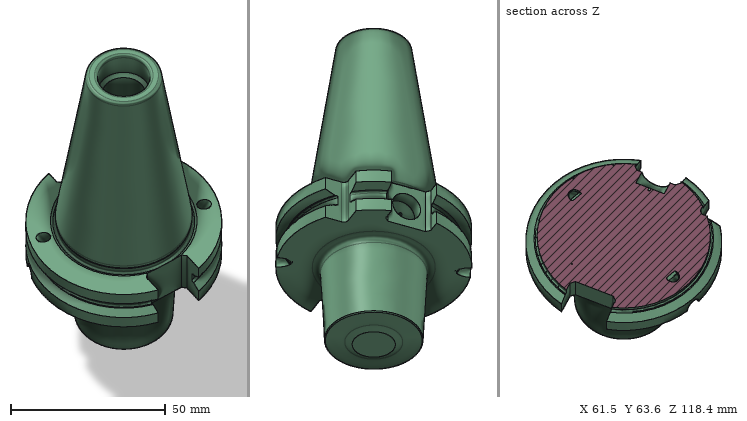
import cadquery as cq
import math


TAPER_LENGTH = 68.4
GAUGE_RADIUS = 44.45 / 2
TAPER_HALF_RATIO = 7 / 48
TIP_FILLET = 1.0
GAUGE_LAND = 1.0
NECK_RADIUS = 22.0
NECK_STEP_HEIGHT = 0.6

FLANGE_RADIUS = 63.55 / 2
FLANGE_TOP_Z = -3.2
FLANGE_BOTTOM_Z = -19.1
RELIEF_OUTER_RADIUS = 23.75
RELIEF_FLOOR_RADIUS = 23.0
RELIEF_DEPTH = 0.3
RELIEF_FILLET = 0.6
GROOVE_Z = -11.1
GROOVE_FLOOR_RADIUS = 28.15
GROOVE_MOUTH_HALF = 3.42
GROOVE_FLANK_ANGLE = 30
GROOVE_WIDTH = 3.75
GROOVE_FILLET = 0.56

BODY_TOP_RADIUS = 17.35
BODY_BOTTOM_RADIUS = 16.0
BODY_FILLET = 2.6
BODY_BOTTOM_Z = -48.1
END_EDGE_Z = -48.5
END_EDGE_RADIUS = 15.7
NOSE_BASE_RADIUS = 9.4
NOSE_BASE_Z = -49.05
NOSE_RADIUS = 7.0
NOSE_Z = -50.0

BORE_RADIUS = 8.5
BORE_MOUTH_FILLET = 1.0
BORE_DEPTH = 8.2
THREAD_RADIUS = 7.0
THREAD_DEPTH = 42.5
DRILL_POINT_ANGLE = 118

SLOT_WIDTH = 16.1
SLOT_FLOOR_LEFT = 25.0
SLOT_FLOOR_RIGHT = 22.8
SLOT_CORNER = 1.3
SLOT_OVERRUN = 1.0
NOTCH_X = 18.3
NOTCH_Y = 18.5
NOTCH_FILLET = 1.6
CHIP_RADIUS = 5.0
CHIP_DEPTH = 4.6
CHIP_VENT_RADIUS = 0.5
CHIP_VENT_DEPTH = 1.0

COOLANT_AZIMUTHS = (70, 250)
COOLANT_RADIUS = 2.05
COOLANT_MOUTH_RADIUS = 27.0
COOLANT_TILT = 30
COOLANT_DEPTH = 10.0
RIM_HOLE_RADIUS = 2.6
RIM_HOLE_Z = FLANGE_BOTTOM_Z
RIM_HOLE_TILT = 57
RIM_HOLE_DEPTH = 4.6
RIM_PILOT_RADIUS = 2.1
RIM_PILOT_DEPTH = 11.7

FLANGE_HEIGHT = FLANGE_TOP_Z - FLANGE_BOTTOM_Z


def fillet_offset(radius):
    """Distance from each tangent side to the middle of a quarter-circle fillet."""
    return radius * (1 - math.sqrt(0.5))


def turned_body():
    """Taper, neck, grooved flange, body and nose as one revolved outline."""
    tip_radius = GAUGE_RADIUS - TAPER_LENGTH * TAPER_HALF_RATIO
    tip_arc = fillet_offset(TIP_FILLET)
    tip_edge_z = TAPER_LENGTH - TIP_FILLET
    tip_edge_radius = GAUGE_RADIUS - tip_edge_z * TAPER_HALF_RATIO
    relief_z = FLANGE_TOP_Z - RELIEF_DEPTH
    relief_arc = fillet_offset(RELIEF_FILLET)
    groove_half = GROOVE_WIDTH / 2
    floor_half = groove_half - GROOVE_FILLET
    groove_arc = fillet_offset(GROOVE_FILLET)
    flank_depth = (GROOVE_MOUTH_HALF - groove_half) / math.tan(math.radians(GROOVE_FLANK_ANGLE))
    flank_radius = FLANGE_RADIUS - flank_depth
    wall_radius = GROOVE_FLOOR_RADIUS + GROOVE_FILLET
    corner_radius = GROOVE_FLOOR_RADIUS + groove_arc
    corner_half = groove_half - groove_arc
    body_arc = fillet_offset(BODY_FILLET)
    outline = (
        cq.Workplane("XZ")
        .moveTo(0, TAPER_LENGTH)
        .lineTo(tip_radius - TIP_FILLET, TAPER_LENGTH)
        .threePointArc((tip_radius - tip_arc, TAPER_LENGTH - tip_arc), (tip_edge_radius, tip_edge_z))
        .lineTo(GAUGE_RADIUS, 0)
        .lineTo(GAUGE_RADIUS, -GAUGE_LAND)
        .lineTo(NECK_RADIUS, -GAUGE_LAND - NECK_STEP_HEIGHT)
        .lineTo(NECK_RADIUS, relief_z + RELIEF_FILLET)
        .threePointArc(
            (NECK_RADIUS + relief_arc, relief_z + relief_arc),
            (NECK_RADIUS + RELIEF_FILLET, relief_z),
        )
        .lineTo(RELIEF_FLOOR_RADIUS, relief_z)
        .lineTo(RELIEF_OUTER_RADIUS, FLANGE_TOP_Z)
        .lineTo(FLANGE_RADIUS, FLANGE_TOP_Z)
        .lineTo(FLANGE_RADIUS, GROOVE_Z + GROOVE_MOUTH_HALF)
        .lineTo(flank_radius, GROOVE_Z + groove_half)
        .lineTo(wall_radius, GROOVE_Z + groove_half)
        .threePointArc((corner_radius, GROOVE_Z + corner_half), (GROOVE_FLOOR_RADIUS, GROOVE_Z + floor_half))
        .lineTo(GROOVE_FLOOR_RADIUS, GROOVE_Z - floor_half)
        .threePointArc((corner_radius, GROOVE_Z - corner_half), (wall_radius, GROOVE_Z - groove_half))
        .lineTo(flank_radius, GROOVE_Z - groove_half)
        .lineTo(FLANGE_RADIUS, GROOVE_Z - GROOVE_MOUTH_HALF)
        .lineTo(FLANGE_RADIUS, FLANGE_BOTTOM_Z)
        .lineTo(BODY_TOP_RADIUS + BODY_FILLET, FLANGE_BOTTOM_Z)
        .threePointArc(
            (BODY_TOP_RADIUS + body_arc, FLANGE_BOTTOM_Z - body_arc),
            (BODY_TOP_RADIUS, FLANGE_BOTTOM_Z - BODY_FILLET),
        )
        .lineTo(BODY_BOTTOM_RADIUS, BODY_BOTTOM_Z)
        .lineTo(END_EDGE_RADIUS, END_EDGE_Z)
        .lineTo(NOSE_BASE_RADIUS, NOSE_BASE_Z)
        .lineTo(NOSE_RADIUS, NOSE_Z)
        .lineTo(0, NOSE_Z)
        .close()
    )
    return outline.revolve(360, (0, 0, 0), (0, 1, 0))


def drawbar_bore():
    """Pilot bore with a rounded mouth, then a blind tapping hole countersunk at its start."""
    thread_end = TAPER_LENGTH - THREAD_DEPTH
    point_slope = 1 / math.tan(math.radians(DRILL_POINT_ANGLE / 2))
    seat_z = TAPER_LENGTH - BORE_DEPTH
    seat_drop = (BORE_RADIUS - THREAD_RADIUS) * point_slope
    mouth_arc = fillet_offset(BORE_MOUTH_FILLET)
    outline = (
        cq.Workplane("XZ")
        .moveTo(0, TAPER_LENGTH)
        .lineTo(BORE_RADIUS + BORE_MOUTH_FILLET, TAPER_LENGTH)
        .threePointArc(
            (BORE_RADIUS + mouth_arc, TAPER_LENGTH - mouth_arc),
            (BORE_RADIUS, TAPER_LENGTH - BORE_MOUTH_FILLET),
        )
        .lineTo(BORE_RADIUS, seat_z)
        .lineTo(THREAD_RADIUS, seat_z - seat_drop)
        .lineTo(THREAD_RADIUS, thread_end)
        .lineTo(0, thread_end - THREAD_RADIUS * point_slope)
        .close()
    )
    return outline.revolve(360, (0, 0, 0), (0, 1, 0))


def drive_slot(floor_distance, side):
    """Slot through the rim with bevelled floor corners; side is -1 or +1 along X."""
    half_width = SLOT_WIDTH / 2
    outer_x = side * (FLANGE_RADIUS + SLOT_OVERRUN)
    floor_x = side * floor_distance
    bevel_x = side * (floor_distance + SLOT_CORNER)
    bevel_y = half_width - SLOT_CORNER
    outline = [
        (outer_x, half_width),
        (bevel_x, half_width),
        (floor_x, bevel_y),
        (floor_x, -bevel_y),
        (bevel_x, -half_width),
        (outer_x, -half_width),
    ]
    plane = cq.Workplane("XY").workplane(offset=FLANGE_BOTTOM_Z)
    return plane.polyline(outline).close().extrude(FLANGE_HEIGHT)


def orientation_notch():
    """Corner cut from the rim in the -X, +Y quadrant with a filleted inner corner."""
    size = FLANGE_RADIUS
    block = cq.Workplane("XY").box(size, size, FLANGE_HEIGHT, centered=False)
    block = block.translate((-NOTCH_X - size, NOTCH_Y, FLANGE_BOTTOM_Z))
    return block.edges("|Z and >X and <Y").fillet(NOTCH_FILLET)


def cylinder_along(start, direction, radius, depth, lead=0.0):
    """Cylinder of the given depth from start, extended backwards by lead."""
    axis = cq.Vector(*direction).normalized()
    base = cq.Vector(*start) - axis * lead
    return cq.Workplane(cq.Solid.makeCylinder(radius, depth + lead, base, axis))


def chip_pocket():
    """Round pocket in the left slot floor with a small vent in its bottom."""
    inward = (1, 0, 0)
    pocket = cylinder_along((-SLOT_FLOOR_LEFT, 0, GROOVE_Z), inward, CHIP_RADIUS, CHIP_DEPTH)
    pocket_floor = (-SLOT_FLOOR_LEFT + CHIP_DEPTH, 0, GROOVE_Z)
    return pocket.union(cylinder_along(pocket_floor, inward, CHIP_VENT_RADIUS, CHIP_VENT_DEPTH))


def inclined_hole(azimuth, mouth_radius, mouth_z, vertical, tilt, radius, depth, lead):
    """Hole running towards the axis; vertical is -1 (down) or +1 (up), tilt is taken from Z."""
    cos_a = math.cos(math.radians(azimuth))
    sin_a = math.sin(math.radians(azimuth))
    inward = math.sin(math.radians(tilt))
    rise = vertical * math.cos(math.radians(tilt))
    start = (mouth_radius * cos_a, mouth_radius * sin_a, mouth_z)
    return cylinder_along(start, (-inward * cos_a, -inward * sin_a, rise), radius, depth, lead)


def coolant_hole(azimuth):
    """Hole leading from the flange top face down towards the axis."""
    return inclined_hole(azimuth, COOLANT_MOUTH_RADIUS, FLANGE_TOP_Z, -1, COOLANT_TILT,
                         COOLANT_RADIUS, COOLANT_DEPTH, COOLANT_RADIUS)


def rim_hole(azimuth):
    """Stepped hole rising from the lower rim edge until it meets the coolant hole."""
    lead = 2 * RIM_HOLE_RADIUS
    plug_seat = inclined_hole(azimuth, FLANGE_RADIUS, RIM_HOLE_Z, 1, RIM_HOLE_TILT,
                              RIM_HOLE_RADIUS, RIM_HOLE_DEPTH, lead)
    pilot = inclined_hole(azimuth, FLANGE_RADIUS, RIM_HOLE_Z, 1, RIM_HOLE_TILT,
                          RIM_PILOT_RADIUS, RIM_PILOT_DEPTH, lead)
    return plug_seat.union(pilot)


result = turned_body().cut(drawbar_bore())
result = result.cut(drive_slot(SLOT_FLOOR_LEFT, -1))
result = result.cut(drive_slot(SLOT_FLOOR_RIGHT, 1))
result = result.cut(orientation_notch())
result = result.cut(chip_pocket())
for hole_azimuth in COOLANT_AZIMUTHS:
    result = result.cut(coolant_hole(hole_azimuth))
    result = result.cut(rim_hole(hole_azimuth))